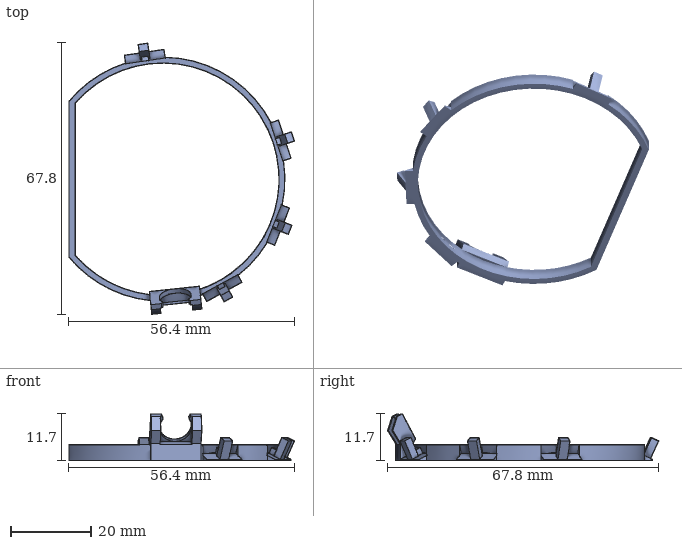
import cadquery as cq
import math

ring_radius = 30.5
ring_inner_radius = 29.0
ring_height = 4.0
flat_distance = 23.5
flat_wall = 1.6

hook_angles = (98.4, 18.2, -21.7, -61.4)
hook_lean = 25.0
foot_length = 10.0
foot_seat = 29.9
foot_reach = 32.05
foot_edge_height = 0.35
post_width = 2.45
post_thickness = 1.95
post_length = 5.1
gusset_width = 1.6
gusset_height = 1.75
overlap = 0.3

holder_angle = -84.0
holder_lean = 28.0
holder_length = 12.6
block_outer = 31.3
web_foot_radius = 27.5
web_foot_height = 5.4
web_length = 7.1
web_thickness = 1.3
undercut_radius = 28.4
arm_bend_height = 4.35
arm_apex = (33.3, 7.5)
arm_shoulder = (32.1, 11.05)
bore_radius = 4.0
throat_half_width = 3.25
mouth_half_width = 3.65
shelf_lip_radius = 30.7


def radial_prism(points, width):
    """Extrude a (radius, height) outline symmetrically across its tangential width."""
    return cq.Workplane("XZ").polyline(points).close().extrude(width / 2, both=True)


def trimmed_disc(radius, flat):
    """Make a ring-height disc cut off by a plane on the -X side."""
    disc = cq.Workplane("XY").circle(radius).extrude(ring_height)
    keep = cq.Workplane("XY").box(flat + radius, 2 * radius, ring_height, centered=(False, True, False))
    return disc.intersect(keep.translate((-flat, 0, 0)))


def make_hook():
    """Make a hook pointing along +X."""
    lean = math.radians(hook_lean)
    slope = math.tan(lean)
    root = foot_seat - ring_height * slope
    root_height = foot_edge_height + (foot_reach - root) * slope
    foot = radial_prism(
        [(root, 0), (foot_reach, 0), (foot_reach, foot_edge_height), (root, root_height)],
        foot_length,
    )

    post = (
        cq.Workplane("XY")
        .box(post_thickness, post_width, post_length + overlap, centered=(False, True, False))
        .translate((-post_thickness, 0, -overlap))
        .rotate((0, 0, 0), (0, 1, 0), hook_lean)
        .translate((foot_reach, 0, foot_edge_height))
    )

    post_middle = foot_reach - post_thickness / 2
    middle_height = foot_edge_height + post_thickness / 2 * slope
    gusset = radial_prism(
        [
            (root, 0),
            (post_middle, 0),
            (post_middle, middle_height + gusset_height),
            (root, root_height + gusset_height),
        ],
        gusset_width,
    )
    below_floor = cq.Workplane("XY").box(
        2 * foot_reach, foot_length, ring_height, centered=(True, True, False)
    ).translate((0, 0, -ring_height))
    return foot.union(post).union(gusset).cut(below_floor)


def make_hook_seat():
    """Make the cutter that leaves a flat, leaning like the post, on the ring behind a hook."""
    seat_root = foot_seat - ring_height * math.tan(math.radians(hook_lean))
    return radial_prism(
        [(seat_root, 0), (foot_reach, 0), (foot_reach, ring_height), (foot_seat, ring_height)],
        foot_length,
    )


def make_holder():
    """Make the clip holder facing along +X."""
    lean = math.radians(holder_lean)
    up = (math.sin(lean), math.cos(lean))
    outward = (math.cos(lean), -math.sin(lean))
    web_foot = (web_foot_radius, web_foot_height)
    web_top = tuple(web_foot[i] + web_length * up[i] for i in range(2))
    body = radial_prism(
        [
            (undercut_radius, 0),
            (block_outer, 0),
            (block_outer, arm_bend_height),
            arm_apex,
            arm_shoulder,
            web_top,
            web_foot,
            (undercut_radius, ring_height),
        ],
        holder_length,
    )

    web_back = tuple(web_foot[i] + web_thickness * outward[i] for i in range(2))
    web_back_top = tuple(web_back[i] + 2 * web_length * up[i] for i in range(2))
    clear_radius = arm_apex[0] + web_length
    arm_gap = radial_prism(
        [
            web_back,
            (shelf_lip_radius, ring_height),
            (clear_radius, ring_height),
            (clear_radius, web_back_top[1]),
            web_back_top,
        ],
        2 * bore_radius,
    )

    clip_plane = cq.Plane(
        origin=(web_foot[0], 0, web_foot[1]),
        xDir=(0, 1, 0),
        normal=(outward[0], 0, outward[1]),
    )
    throat_rise = bore_radius + math.sqrt(bore_radius**2 - throat_half_width**2)
    opening = (
        cq.Workplane(clip_plane)
        .moveTo(-throat_half_width, throat_rise)
        .threePointArc((0, 0), (throat_half_width, throat_rise))
        .lineTo(mouth_half_width, web_length)
        .lineTo(mouth_half_width, web_length + overlap)
        .lineTo(-mouth_half_width, web_length + overlap)
        .lineTo(-mouth_half_width, web_length)
        .close()
        .extrude(web_thickness)
    )
    return body.cut(arm_gap).cut(opening)


def place(shape, angle):
    return shape.rotate((0, 0, 0), (0, 0, 1), angle)


result = trimmed_disc(ring_radius, flat_distance)
for angle in hook_angles:
    result = result.cut(place(make_hook_seat(), angle)).union(place(make_hook(), angle))
result = result.union(place(make_holder(), holder_angle))
result = result.cut(trimmed_disc(ring_inner_radius, flat_distance - flat_wall))